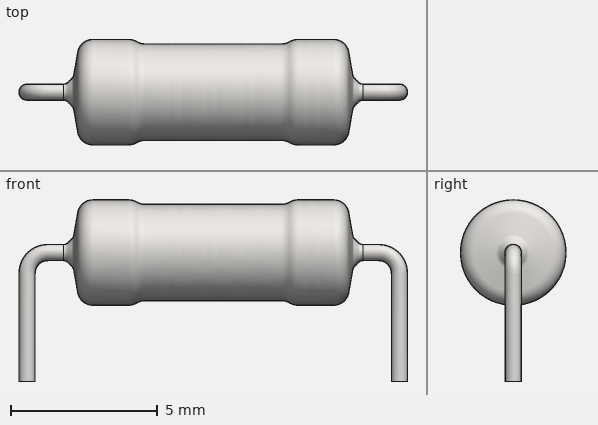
import cadquery as cq
import math

total_length = 13.25
total_height = 6.2
body_diameter = 3.6
waist_diameter = 3.3
lead_diameter = 0.55

body_half_length = 5.1
waist_half_length = 2.33
waist_band_edges = [-1.47, -1.07, -0.2, 0.16, 1.03, 1.43]
cap_band_edges = [3.26, 3.66]

neck_angle = 45.0
face_angle = 80.0
neck_fillet = 0.21
neck_cone_height = 0.13
face_radius = 1.36

step_length = 0.55

bend_radius = 0.7

body_radius = body_diameter / 2
waist_radius = waist_diameter / 2
lead_radius = lead_diameter / 2
rim_fillet = (body_radius - face_radius) / (1 - math.cos(math.radians(face_angle)))
step_middle_radius = (body_radius + waist_radius) / 2


def arc_step(radius, start_angle, end_angle):
    """Axial and radial travel along an arc whose slope turns between two angles."""
    start = math.radians(start_angle)
    end = math.radians(end_angle)
    axial = radius * abs(math.sin(end) - math.sin(start))
    radial = radius * abs(math.cos(end) - math.cos(start))
    return axial, radial


def end_points():
    """Outline points of the -X end, from the neck tip to the inner end of the step."""
    tip = (-body_half_length, lead_radius)
    axial, radial = arc_step(neck_fillet, 0, neck_angle)
    neck_start = (tip[0] + axial, tip[1] + radial)
    neck_run = neck_cone_height / math.tan(math.radians(neck_angle))
    neck_end = (neck_start[0] + neck_run, neck_start[1] + neck_cone_height)
    axial, radial = arc_step(neck_fillet, neck_angle, face_angle)
    face_start = (neck_end[0] + axial, neck_end[1] + radial)
    face_run = (face_radius - face_start[1]) / math.tan(math.radians(face_angle))
    face_end = (face_start[0] + face_run, face_radius)
    axial, _ = arc_step(rim_fillet, face_angle, 0)
    rim_end = (face_end[0] + axial, body_radius)
    step_start = (-waist_half_length - step_length, body_radius)
    step_middle = (-waist_half_length - step_length / 2, step_middle_radius)
    step_end = (-waist_half_length, waist_radius)
    return [tip, neck_start, neck_end, face_start, face_end, rim_end, step_start, step_middle, step_end]


def in_space(point):
    """Place an (axial, radial) point in the XZ plane."""
    return cq.Vector(point[0], 0, point[1])


def arc_edge(start, end, start_angle):
    """Arc from start to end that leaves start at the given slope."""
    slope = math.radians(start_angle)
    tangent = cq.Vector(math.cos(slope), 0, math.sin(slope))
    return cq.Edge.makeTangentArc(in_space(start), tangent, in_space(end))


def line_edge(start, end):
    """Straight edge between two (axial, radial) points."""
    return cq.Edge.makeLine(in_space(start), in_space(end))


def end_edges():
    """Outline of the -X end, up to the waist."""
    (tip, neck_start, neck_end, face_start, face_end,
     rim_end, step_start, step_middle, step_end) = end_points()
    step_angle = 2 * math.degrees(math.atan2(body_radius - waist_radius, step_length))
    return [
        line_edge((tip[0], 0), tip),
        arc_edge(tip, neck_start, 0),
        line_edge(neck_start, neck_end),
        arc_edge(neck_end, face_start, neck_angle),
        line_edge(face_start, face_end),
        arc_edge(face_end, rim_end, face_angle),
        arc_edge(step_start, step_middle, 0),
        arc_edge(step_middle, step_end, -step_angle),
    ]


def cylinder_edges(radius, breaks):
    """Straight outline of a cylinder, divided at each break along X."""
    return [line_edge((a, radius), (b, radius)) for a, b in zip(breaks, breaks[1:])]


def make_body():
    """Revolve the outline; the colour band edges divide the cylinders into separate faces."""
    left_end = end_edges()
    right_end = [edge.mirror("YZ") for edge in left_end]
    rim_x = end_points()[5][0]
    cap_inner_x = waist_half_length + step_length
    left_cap = cylinder_edges(body_radius, [rim_x, -cap_inner_x])
    waist = cylinder_edges(waist_radius, [-waist_half_length, *waist_band_edges, waist_half_length])
    right_cap = cylinder_edges(body_radius, [cap_inner_x, *cap_band_edges, -rim_x])
    axis = line_edge((-body_half_length, 0), (body_half_length, 0))
    outline = cq.Wire.combine(left_end + left_cap + waist + right_cap + right_end + [axis])[0]
    return cq.Solid.revolve(outline, [], 360, cq.Vector(0, 0, 0), cq.Vector(1, 0, 0))


def make_lead(side):
    """Round wire from the neck tip, outwards and then down; side is -1 or 1 along X."""
    leg_x = total_length / 2 - lead_radius
    bend_x = leg_x - bend_radius
    leg_bottom = body_radius - total_height
    mid_offset = bend_radius * math.sin(math.radians(45))
    path = (
        cq.Workplane("XZ")
        .moveTo(side * body_half_length, 0)
        .lineTo(side * bend_x, 0)
        .threePointArc(
            (side * (bend_x + mid_offset), mid_offset - bend_radius),
            (side * leg_x, -bend_radius),
        )
        .lineTo(side * leg_x, leg_bottom)
    )
    section = cq.Workplane("YZ", origin=(side * body_half_length, 0, 0)).circle(lead_radius)
    return section.sweep(path).val()


body = make_body()
leads = [make_lead(side) for side in (-1, 1)]

result = cq.Compound.makeCompound([body, *leads])